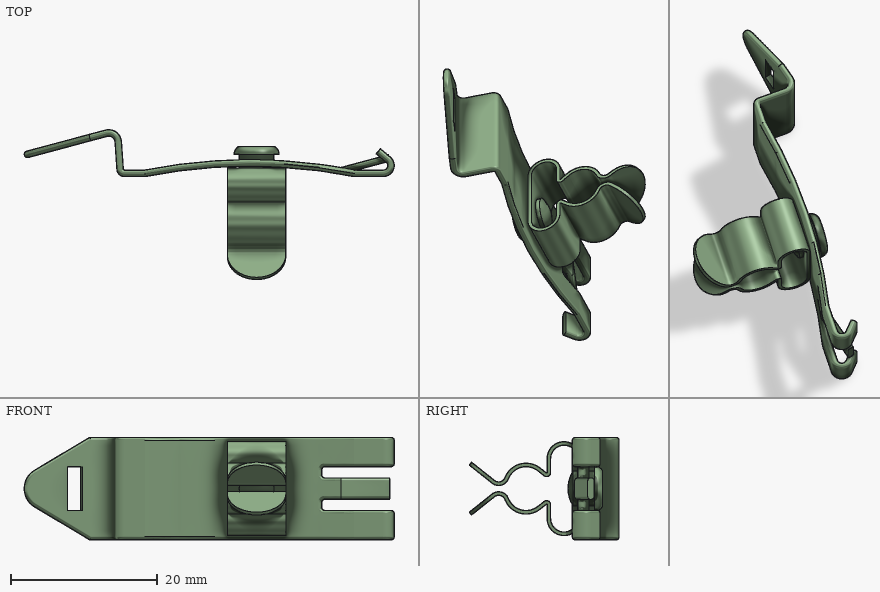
import cadquery as cq
import math


overall_length = 50.5
strap_thickness = 0.9
strap_width = 14.0
strap_edge_radius = 0.43
strap_mid = strap_thickness / 2

hook_center_x = 17.25
hook_bend_radius = 1.05
hook_turn = 140
hook_lip_length = 1.75

flap_tilt = 15
tip_y = 2.95
crest_x = -19.0
crest_bend_radius = 1.3
heel_x = -18.6
heel_bend_radius = 0.6

arch_start_x = -15.25
arch_end_x = 13.35
arch_rise = 1.4

flap_nose_radius = 2.9
flap_taper = 30
window_start = 6.0
window_length = 2.05
window_height = 5.95

slot_start_x = 8.9
slot_inner_z = 1.45
slot_outer_z = 3.0
slot_corner_radius = 0.45
tongue_bend_x = 11.5
tongue_tilt = 15
tongue_end_x = 18.1

clip_thickness = 0.5
clip_width = 8.0
clip_back_y = 1.2
roll_top_z = 6.15
roll_front_y = -3.2
ankle_z = 1.55
ankle_bend_radius = 0.3
crown_corner = (-7.35, 4.825)
crown_radius = 2.85
neck_corner = (-9.6, 0.0)
neck_bend_radius = 1.15
flare_end = (-13.9, 3.41)

shank_radius = 2.35
dome_base_y = 0.125
dome_height = 0.7
head_seat_y = 3.05
head_height = 1.1
head_radius = 3.1
head_top_radius = 2.4
head_bulge = 0.175

cut_reach = 30.3
match_tolerance = 0.05

tilt_angle = math.radians(flap_tilt)
tip_flat_overhang = (strap_mid - strap_edge_radius) * math.sin(tilt_angle)
tip_overhang = tip_flat_overhang + strap_edge_radius * (1 - math.cos(tilt_angle))
hook_right_x = hook_center_x + hook_bend_radius + strap_mid
tip_x = hook_right_x - overall_length + tip_overhang
crest_y = tip_y + (crest_x - tip_x) * math.tan(tilt_angle)

arch_mid_x = (arch_start_x + arch_end_x) / 2
arch_radius = ((arch_end_x - arch_start_x) ** 2 / 4 + arch_rise**2) / (2 * arch_rise)


def polar(length, degrees):
    angle = math.radians(degrees)
    return length * math.cos(angle), length * math.sin(angle)


def shifted(point, offset):
    return point[0] + offset[0], point[1] + offset[1]


def bend(before, corner, after, radius):
    """Start, middle and end of the arc that rounds a corner between two points."""
    to_before = math.atan2(before[1] - corner[1], before[0] - corner[0])
    to_after = math.atan2(after[1] - corner[1], after[0] - corner[0])
    opening = abs(math.remainder(to_after - to_before, math.tau)) / 2
    bisector = to_before + math.remainder(to_after - to_before, math.tau) / 2
    tangent_length = radius / math.tan(opening)
    middle_distance = radius / math.sin(opening) - radius
    start = shifted(corner, polar(tangent_length, math.degrees(to_before)))
    middle = shifted(corner, polar(middle_distance, math.degrees(bisector)))
    end = shifted(corner, polar(tangent_length, math.degrees(to_after)))
    return start, middle, end


def follow(path, points, bend_radii):
    """Draw a line from points[0] through the others, rounding each inner point."""
    for before, corner, after, radius in zip(points, points[1:], points[2:], bend_radii):
        start, middle, end = bend(before, corner, after, radius)
        path = path.lineTo(*start).threePointArc(middle, end)
    return path.lineTo(*points[-1])


def box(x_range, y_range, z_range):
    """A box given by its limits along the three axes."""
    ranges = (x_range, y_range, z_range)
    sizes = [high - low for low, high in ranges]
    return cq.Workplane("XY").box(*sizes, centered=False).translate([low for low, high in ranges])




def arch_y(x):
    """Height of the arch's mid-surface."""
    drop = arch_radius - math.sqrt(arch_radius**2 - (x - arch_mid_x) ** 2)
    return strap_mid + arch_rise - drop


def sheet(path, thickness, width):
    """A sheet around a mid-surface line, centred on the line's plane."""
    return path.offset2D(thickness / 2, "intersection").extrude(width / 2, both=True)


def end_trim(end, heading):
    """A block that squares off a strip which runs past its end point."""
    reach = 2 * strap_thickness
    block = box((0, reach), (-reach, reach), (-strap_width, strap_width))
    return block.rotate((0, 0, 0), (0, 0, 1), heading).translate((*end, 0))


def full_sheet():
    """The sheet at full width, from beyond the flap's tip to the lip of the hook."""
    left_points = [
        shifted((tip_x, tip_y), polar(-strap_thickness, flap_tilt)),
        (crest_x, crest_y),
        (heel_x, strap_mid),
        (arch_start_x, strap_mid),
    ]
    hook_center = (hook_center_x, strap_mid + hook_bend_radius)
    hook_middle = shifted(hook_center, polar(hook_bend_radius, hook_turn / 2 - 90))
    lip_start = shifted(hook_center, polar(hook_bend_radius, hook_turn - 90))
    lip_end = shifted(lip_start, polar(hook_lip_length, hook_turn))

    path = cq.Workplane("XY").moveTo(*left_points[0])
    path = follow(path, left_points, (crest_bend_radius, heel_bend_radius))
    path = (
        path.threePointArc((arch_mid_x, arch_y(arch_mid_x)), (arch_end_x, strap_mid))
        .lineTo(hook_center_x, strap_mid)
        .threePointArc(hook_middle, lip_start)
        .lineTo(*shifted(lip_end, polar(strap_thickness, hook_turn)))
    )
    return sheet(path, strap_thickness, strap_width).cut(end_trim(lip_end, hook_turn))


def tongue():
    """The middle tongue, which leaves the arch and rises in a straight line."""
    start_x = arch_mid_x
    between_x = (start_x + tongue_bend_x) / 2
    bend_point = (tongue_bend_x, arch_y(tongue_bend_x))
    length = (tongue_end_x - tongue_bend_x) / math.cos(math.radians(tongue_tilt))
    end = shifted(bend_point, polar(length, tongue_tilt))
    path = (
        cq.Workplane("XY")
        .moveTo(start_x, arch_y(start_x))
        .threePointArc((between_x, arch_y(between_x)), bend_point)
        .lineTo(*shifted(end, polar(strap_thickness, tongue_tilt)))
    )
    strip = sheet(path, strap_thickness, 2 * slot_inner_z).cut(end_trim(end, tongue_tilt))
    return strip.intersect(fork_opening(slot_inner_z))


def fork_opening(half_height):
    """Everything at the hook end within a half height of the middle."""
    return box((slot_start_x, cut_reach), (-cut_reach, cut_reach), (-half_height, half_height))


def slot():
    """The upper slot beside the tongue, with rounded corners at its closed end."""
    blank = box((slot_start_x, cut_reach), (-cut_reach, cut_reach), (slot_inner_z, slot_outer_z))
    return blank.edges("|Y and <X").fillet(slot_corner_radius)


def flap_plane():
    """Plane of the flap's mid-surface: x runs from the tip up the flap, y along Z."""
    along = (math.cos(tilt_angle), math.sin(tilt_angle), 0)
    normal = (math.sin(tilt_angle), -math.cos(tilt_angle), 0)
    return cq.Workplane(cq.Plane((tip_x, tip_y, 0), along, normal))


def flap_offcut():
    """The material outside the rounded, tapering flap."""
    taper = math.radians(flap_taper)
    half_width = strap_width / 2
    nose_end = flap_nose_radius * (1 - math.sin(taper))
    nose_half_width = flap_nose_radius * math.cos(taper)
    shoulder = nose_end + (half_width - nose_half_width) / math.tan(taper)
    outline = (
        flap_plane()
        .moveTo(shoulder, -half_width)
        .lineTo(nose_end, -nose_half_width)
        .threePointArc((0, 0), (nose_end, nose_half_width))
        .lineTo(shoulder, half_width)
        .close()
        .extrude(strap_thickness, both=True)
    )
    margin = 2 * strap_thickness
    blank = (
        flap_plane()
        .center((shoulder - margin) / 2, 0)
        .rect(shoulder + margin, strap_width + margin)
        .extrude(strap_thickness, both=True)
    )
    return blank.cut(outline)


def strap_window():
    """The rectangular window through the flap."""
    return (
        flap_plane()
        .center(window_start + window_length / 2, 0)
        .rect(window_length, window_height)
        .extrude(strap_thickness, both=True)
    )


def is_rim_edge(edge):
    """True for the edges where a sheet face meets the outline, and not for folds and square ends."""
    straight = edge.geomType() == "LINE"
    along_z = straight and abs(edge.tangentAt(0).z) > 1 - match_tolerance
    at_slot_end = abs(edge.Center().x - slot_start_x) < match_tolerance
    across_sheet = straight and abs(edge.Length() - strap_thickness) < match_tolerance
    return not across_sheet and (at_slot_end or not along_z)


def make_strap():
    upper_slot = slot()
    lower_slot = upper_slot.mirror("XY")
    blank = full_sheet().cut(fork_opening(slot_inner_z)).union(tongue())
    blank = blank.cut(upper_slot).cut(lower_slot).cut(flap_offcut())
    rim_edges = [edge for edge in blank.edges().vals() if is_rim_edge(edge)]
    rounded = cq.Workplane(blank.val().fillet(strap_edge_radius, rim_edges))
    return rounded.cut(strap_window()).cut(rivet_hole())




def flare_trim():
    """What to remove from the upper flare so that its end is a full half round."""
    end_radius = clip_width / 2
    rise = flare_end[1] - neck_corner[1]
    run = neck_corner[0] - flare_end[0]
    slope = math.atan2(rise, run)
    outward = (0, -math.cos(slope), math.sin(slope))
    normal = (0, math.sin(slope), math.cos(slope))
    plane = cq.Plane((0, *flare_end), outward, normal)
    round_center = cq.Workplane(plane).center(-end_radius, 0)
    disc = round_center.circle(end_radius).extrude(clip_thickness, both=True)
    overhang = 2 * clip_thickness
    blank = (
        round_center.center((end_radius + overhang) / 2, 0)
        .rect(end_radius + overhang, clip_width + overhang)
        .extrude(clip_thickness, both=True)
    )
    return blank.cut(disc)


def clip_half():
    """The upper half of the clip, with half of its back."""
    back_mid = clip_back_y - clip_thickness / 2
    roll_radius = (back_mid - roll_front_y) / 2
    roll_center = (back_mid - roll_radius, roll_top_z - roll_radius)
    flare_run = flare_end[0] - neck_corner[0]
    flare_rise = flare_end[1] - neck_corner[1]
    overrun = 1 + clip_thickness / math.hypot(flare_run, flare_rise)
    points = [
        (roll_front_y, roll_center[1]),
        (roll_front_y, ankle_z),
        crown_corner,
        neck_corner,
        shifted(neck_corner, (overrun * flare_run, overrun * flare_rise)),
    ]
    path = (
        cq.Workplane("YZ")
        .moveTo(back_mid, -clip_thickness)
        .lineTo(back_mid, roll_center[1])
        .threePointArc((roll_center[0], roll_top_z), points[0])
    )
    path = follow(path, points, (ankle_bend_radius, crown_radius, neck_bend_radius))
    return sheet(path, clip_thickness, clip_width).cut(flare_trim())


def make_clip():
    upper = clip_half()
    return upper.union(upper.mirror("XY")).clean().cut(rivet_hole())




def rivet_hole():
    """The shank's hole through the clip's back and the strap."""
    plane = cq.Workplane("XZ", origin=(0, head_seat_y, 0))
    return plane.circle(shank_radius).extrude(head_seat_y - dome_base_y)


def make_rivet():
    """Turned about Y: a domed front end, a shank and a flanged rear head."""
    dome_radius = (shank_radius**2 + dome_height**2) / (2 * dome_height)
    dome_mid_radius = shank_radius / 2
    dome_mid_drop = dome_radius - math.sqrt(dome_radius**2 - dome_mid_radius**2)
    dome_top_y = dome_base_y - dome_height
    head_top_y = head_seat_y + head_height
    side_mid_radius = (head_radius + head_top_radius) / 2
    side_mid_y = head_seat_y + head_height / 2
    side_length = math.hypot(head_radius - head_top_radius, head_height)
    bulge_outward = head_bulge * head_height / side_length
    bulge_along = head_bulge * (head_radius - head_top_radius) / side_length
    head_side = (side_mid_radius + bulge_outward, side_mid_y + bulge_along)
    return (
        cq.Workplane("ZY")
        .moveTo(0, dome_top_y)
        .threePointArc((dome_mid_radius, dome_top_y + dome_mid_drop), (shank_radius, dome_base_y))
        .lineTo(shank_radius, head_seat_y)
        .lineTo(head_radius, head_seat_y)
        .threePointArc(head_side, (head_top_radius, head_top_y))
        .lineTo(0, head_top_y)
        .close()
        .revolve(360, (0, 0, 0), (0, 1, 0))
    )


strap = make_strap()
clip = make_clip()
rivet = make_rivet()
result = cq.Compound.makeCompound([strap.val(), clip.val(), rivet.val()])